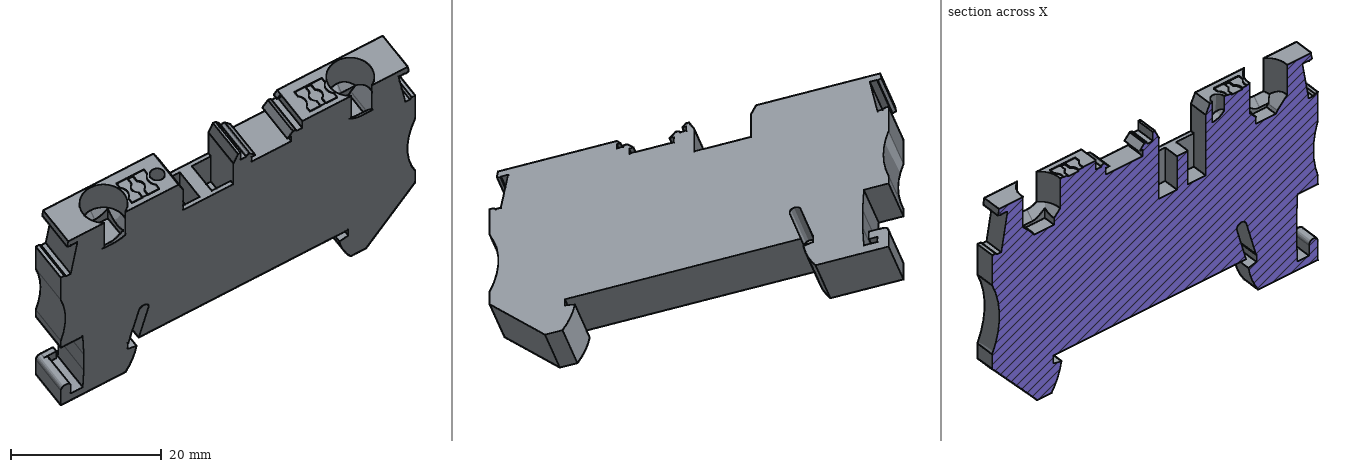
import cadquery as cq
import math

THICKNESS = 6.15
LENGTH = 55.9
HEIGHT = 35.3
HALF_X = THICKNESS / 2
HALF_Y = LENGTH / 2

CATCH_LENGTH = 0.85

LIP_TIP_Y = 26.95
LIP_TOP_Y = 26.8
LIP_TIP_Z = HEIGHT - 1.05
LIP_UNDERSIDE_Z = HEIGHT - 1.2
LIP_BEAD_Y = 26.45
LIP_BEAD_HEIGHT = 0.1
NECK_TOP_Y = 25.3
NECK_BOTTOM_Y = 26.4
NECK_FLOOR_Z = 27.85
SHOULDER_Z = 28.1
SHOULDER_Y = 27.4
SHOULDER_INNER_Y = 27.1

GRIP_PLUS = (11.5, 23.05, 1.25)
GRIP_MINUS = (14.2, 23.2, 0.7)

RAIL_TOP_Z = 6.1
HEEL_Y = 17.4
HEEL_Z = 4.85
TOE_Y = 16.0
TOE_Z = 4.5
FOOT_Y = 17.7
FOOT_BULGE = 0.3
BEVEL_FOOT_Y = 20.2
BEVEL_END_Z = 9.0

SLIT_RADIUS = 0.8
SLIT_TOP_Y = -14.85
SLIT_TOP_Z = 11.9
SLIT_ANGLE = math.radians(15.5)

RECESS_TOP_Z = 12.7
RECESS_BOTTOM_Z = 1.5
RECESS_Y = -24.5
RECESS_BELLY = 0.15
BELLY_TOP_Z = 8.6
BELLY_BOTTOM_Z = 5.1
CREST_Z = 4.0
CREST_RADIUS = 0.8
NIB_UNDERSIDE_Z = 2.5
NIB_TIP_Y = -25.2

MARKER_Y = 5.25
MARKER_WALL = 4.85
MARKER_STEP = 3.95
MARKER_STEP_Z = HEIGHT - 1.5
MARKER_RIB_Z = HEIGHT - 1.2
MARKER_RIB_ROUND = 0.35
MARKER_RIB_CREST = 3.4
MARKER_LIP = 2.5
MARKER_LIP_Z = HEIGHT - 2.2
MARKER_UNDERCUT = 3.15
MARKER_FLOOR_Z = HEIGHT - 3.2
CATCH_REACH = 0.55
CATCH_HEIGHT = 0.65

BRIDGE_PLUS_Y = -0.7
BRIDGE_MINUS_Y = -8.65
BRIDGE_FLOOR_Z = HEIGHT - 6.1
BRIDGE_BEVEL_WIDTH = 0.7
BRIDGE_BEVEL_HEIGHT = 1.55
POCKET_WIDTH = 4.85
POCKET_LENGTH = 3.0
POCKET_DEPTH = 5.6

ENTRY_X = 0.35
ENTRY_Y = 19.45
ENTRY_RADIUS = 3.2
ENTRY_STRAIGHT_DEPTH = 5.05
ENTRY_DEPTH = 7.25
FUNNEL_END_RADIUS = 1.5
WELL_WIDTH = 3.8
WELL_INNER_Y = 17.35
WELL_OUTER_Y = 20.7
WELL_RAMP_Y = ENTRY_Y + FUNNEL_END_RADIUS
WELL_RAMP_HEIGHT = 0.45

SEAT_X = 0.35
SEAT_Y = 14.05
SEAT_WIDTH = 3.8
SEAT_LENGTH = 4.3
SEAT_DEPTH = 0.1
SEAT_NOTCH_WIDTH = 2.1
SEAT_NOTCH_DEPTH = 0.5
SEAT_DISC_RADIUS = 0.95
SEAT_BAND_WIDTH = 0.85
SEAT_BAND_DEPTH = 0.35

TEST_X = 0.1
TEST_Y = -10.85
TEST_RADIUS = 1.0
TEST_DEPTH = 3.35
TEST_FLOOR_RADIUS = 2.5


def side_sketch():
    """Work plane on the -X face, with local axes Y and Z."""
    return cq.Workplane("YZ", origin=(-HALF_X, 0, 0))


def through(points):
    """Prism through the full thickness with a straight-sided (Y, Z) outline."""
    return side_sketch().polyline(points).close().extrude(THICKNESS)


def top_box(x, y, width, length, top, depth):
    """Box sunk from the level `top`, centred on x and y."""
    return cq.Workplane("XY", origin=(x, y, top)).rect(width, length).extrude(-depth)


def neck(side):
    outline = [
        (HALF_Y, HEIGHT),
        (LIP_TOP_Y, HEIGHT),
        (LIP_TIP_Y, LIP_TIP_Z),
        (LIP_BEAD_Y, LIP_UNDERSIDE_Z - LIP_BEAD_HEIGHT),
        (LIP_BEAD_Y - LIP_BEAD_HEIGHT, LIP_UNDERSIDE_Z),
        (NECK_TOP_Y, LIP_UNDERSIDE_Z),
        (NECK_BOTTOM_Y, NECK_FLOOR_Z),
        (SHOULDER_INNER_Y, NECK_FLOOR_Z),
        (SHOULDER_Y, SHOULDER_Z),
        (HALF_Y, SHOULDER_Z),
    ]
    return through([(side * y, z) for y, z in outline])


def finger_grip(side, grip):
    bottom, top, depth = grip
    middle = (side * (HALF_Y - depth), (bottom + top) / 2)
    sketch = side_sketch().moveTo(side * HALF_Y, bottom)
    return sketch.threePointArc(middle, (side * HALF_Y, top)).close().extrude(THICKNESS)


def rail_opening():
    bulge_y = (FOOT_Y + TOE_Y) / 2 - FOOT_BULGE
    return (
        side_sketch()
        .moveTo(FOOT_Y, 0)
        .threePointArc((bulge_y, TOE_Z / 2), (TOE_Y, TOE_Z))
        .lineTo(HEEL_Y, HEEL_Z)
        .lineTo(HEEL_Y, RAIL_TOP_Z)
        .lineTo(-HEEL_Y, RAIL_TOP_Z)
        .lineTo(-HEEL_Y, HEEL_Z)
        .lineTo(-TOE_Y, TOE_Z)
        .threePointArc((-bulge_y, TOE_Z / 2), (-FOOT_Y, 0))
        .close()
        .extrude(THICKNESS)
    )


def flex_slit():
    across = SLIT_RADIUS * math.cos(SLIT_ANGLE)
    rise = SLIT_RADIUS * math.sin(SLIT_ANGLE)
    base_y = SLIT_TOP_Y - (SLIT_TOP_Z - RAIL_TOP_Z) * math.tan(SLIT_ANGLE)
    base_half = SLIT_RADIUS / math.cos(SLIT_ANGLE)
    return (
        side_sketch()
        .moveTo(base_y + base_half, RAIL_TOP_Z)
        .lineTo(SLIT_TOP_Y + across, SLIT_TOP_Z - rise)
        .threePointArc(
            (SLIT_TOP_Y + rise, SLIT_TOP_Z + across),
            (SLIT_TOP_Y - across, SLIT_TOP_Z + rise),
        )
        .lineTo(base_y - base_half, RAIL_TOP_Z)
        .close()
        .extrude(THICKNESS)
    )


def release_recess():
    wall_inner_y = -HALF_Y + 2 * CREST_RADIUS
    round_z = CREST_Z - CREST_RADIUS
    return (
        side_sketch()
        .moveTo(-HALF_Y, RECESS_TOP_Z)
        .lineTo(RECESS_Y, RECESS_TOP_Z)
        .lineTo(RECESS_Y + RECESS_BELLY, BELLY_TOP_Z)
        .lineTo(RECESS_Y + RECESS_BELLY, BELLY_BOTTOM_Z)
        .lineTo(RECESS_Y, RECESS_BOTTOM_Z)
        .lineTo(wall_inner_y, RECESS_BOTTOM_Z)
        .lineTo(wall_inner_y, round_z)
        .threePointArc((-HALF_Y + CREST_RADIUS, CREST_Z), (-HALF_Y, round_z))
        .close()
        .extrude(THICKNESS)
    )


def recess_nib():
    root_y = -HALF_Y + CREST_RADIUS
    outline = [
        (root_y, CREST_Z),
        (NIB_TIP_Y, CREST_Z),
        (NIB_TIP_Y, NIB_UNDERSIDE_Z),
        (root_y, NIB_UNDERSIDE_Z),
    ]
    return side_sketch().polyline(outline).close().extrude(CATCH_LENGTH)


def marker_half(side):
    """Half of the marker groove, from its centre line out to one wall."""

    def at(offset, z):
        return (MARKER_Y + side * offset, z)

    round_middle = MARKER_RIB_ROUND * math.sqrt(0.5)
    round_centre = MARKER_STEP - MARKER_RIB_ROUND
    return (
        side_sketch()
        .moveTo(*at(0, HEIGHT))
        .lineTo(*at(MARKER_WALL, HEIGHT))
        .lineTo(*at(MARKER_WALL, MARKER_STEP_Z))
        .lineTo(*at(MARKER_STEP, MARKER_STEP_Z))
        .threePointArc(
            at(round_centre + round_middle, MARKER_RIB_Z - MARKER_RIB_ROUND + round_middle),
            at(round_centre, MARKER_RIB_Z),
        )
        .lineTo(*at(MARKER_RIB_CREST, MARKER_RIB_Z))
        .lineTo(*at(MARKER_LIP, MARKER_LIP_Z))
        .lineTo(*at(MARKER_UNDERCUT, MARKER_LIP_Z))
        .lineTo(*at(MARKER_UNDERCUT, MARKER_FLOOR_Z))
        .lineTo(*at(0, MARKER_FLOOR_Z))
        .close()
        .extrude(THICKNESS)
    )


def marker_catch(side):
    wall = MARKER_Y + side * MARKER_WALL
    tip = wall - side * CATCH_REACH
    bottom = HEIGHT - CATCH_HEIGHT
    outline = [(wall, HEIGHT), (tip, bottom), (wall, bottom)]
    return side_sketch().polyline(outline).close().extrude(CATCH_LENGTH)


def bridge_slot():
    bevel_z = HEIGHT - BRIDGE_BEVEL_HEIGHT
    slot = through([
        (BRIDGE_PLUS_Y + BRIDGE_BEVEL_WIDTH, HEIGHT),
        (BRIDGE_PLUS_Y, bevel_z),
        (BRIDGE_PLUS_Y, BRIDGE_FLOOR_Z),
        (BRIDGE_MINUS_Y, BRIDGE_FLOOR_Z),
        (BRIDGE_MINUS_Y, bevel_z),
        (BRIDGE_MINUS_Y - BRIDGE_BEVEL_WIDTH, HEIGHT),
    ])
    for y in (BRIDGE_PLUS_Y - POCKET_LENGTH / 2, BRIDGE_MINUS_Y + POCKET_LENGTH / 2):
        slot = slot.union(top_box(0, y, POCKET_WIDTH, POCKET_LENGTH, BRIDGE_FLOOR_Z, POCKET_DEPTH))
    return slot


def wire_entry(side):
    """Round bore, a U-shaped funnel below it, and a square well with a leaning outer wall."""
    bottom = HEIGHT - ENTRY_DEPTH
    funnel_top = HEIGHT - ENTRY_STRAIGHT_DEPTH
    funnel_depth = ENTRY_DEPTH - ENTRY_STRAIGHT_DEPTH - WELL_RAMP_HEIGHT
    taper = math.degrees(math.atan((ENTRY_RADIUS - FUNNEL_END_RADIUS) / funnel_depth))
    rim = cq.Workplane("XY", origin=(ENTRY_X, side * ENTRY_Y, HEIGHT))
    bore = rim.circle(ENTRY_RADIUS).extrude(-ENTRY_STRAIGHT_DEPTH)
    envelope = rim.circle(ENTRY_RADIUS).extrude(-ENTRY_DEPTH)
    funnel = (
        cq.Workplane("XY", origin=(ENTRY_X, side * ENTRY_Y, funnel_top))
        .moveTo(-ENTRY_RADIUS, 0)
        .threePointArc((0, -side * ENTRY_RADIUS), (ENTRY_RADIUS, 0))
        .lineTo(ENTRY_RADIUS, side * ENTRY_RADIUS)
        .lineTo(-ENTRY_RADIUS, side * ENTRY_RADIUS)
        .close()
        .extrude(-funnel_depth, taper=taper)
    )
    outline = [
        (WELL_INNER_Y, funnel_top),
        (WELL_INNER_Y, bottom),
        (WELL_OUTER_Y, bottom),
        (WELL_RAMP_Y, bottom + WELL_RAMP_HEIGHT),
        (ENTRY_Y + ENTRY_RADIUS, funnel_top),
    ]
    well = (
        cq.Workplane("YZ", origin=(-WELL_WIDTH / 2, 0, 0))
        .polyline([(side * y, z) for y, z in outline])
        .close()
        .extrude(WELL_WIDTH)
    )
    return bore.union(funnel.union(well).intersect(envelope))


def lever_seat(side):
    """Shallow plate with notched ends, crossed by a deeper band and disc."""
    half_width = SEAT_WIDTH / 2
    half_length = SEAT_LENGTH / 2
    half_notch = SEAT_NOTCH_WIDTH / 2
    notch_y = half_length - SEAT_NOTCH_DEPTH
    base = cq.Workplane("XY", origin=(SEAT_X, side * SEAT_Y, HEIGHT))
    plate = (
        base.moveTo(-half_width, half_length)
        .lineTo(-half_notch, half_length)
        .threePointArc((0, notch_y), (half_notch, half_length))
        .lineTo(half_width, half_length)
        .lineTo(half_width, -half_length)
        .lineTo(half_notch, -half_length)
        .threePointArc((0, -notch_y), (-half_notch, -half_length))
        .lineTo(-half_width, -half_length)
        .close()
        .extrude(-SEAT_DEPTH)
    )
    band = base.rect(SEAT_WIDTH, SEAT_BAND_WIDTH).extrude(-SEAT_BAND_DEPTH)
    disc = base.circle(SEAT_DISC_RADIUS).extrude(-SEAT_BAND_DEPTH)
    return plate.union(band).union(disc)


def test_hole():
    bore = (
        cq.Workplane("XY", origin=(TEST_X, TEST_Y, HEIGHT))
        .circle(TEST_RADIUS)
        .extrude(-TEST_DEPTH)
    )
    floor_y = TEST_Y + TEST_RADIUS
    floor_z = HEIGHT - TEST_DEPTH + TEST_FLOOR_RADIUS
    rounded_floor = side_sketch().center(floor_y, floor_z).circle(TEST_FLOOR_RADIUS).extrude(THICKNESS)
    above = top_box(0, TEST_Y, THICKNESS, 2 * TEST_RADIUS, HEIGHT, HEIGHT - floor_z)
    return bore.intersect(rounded_floor.union(above))


result = through([
    (-HALF_Y, 0),
    (BEVEL_FOOT_Y, 0),
    (HALF_Y, BEVEL_END_Z),
    (HALF_Y, HEIGHT),
    (-HALF_Y, HEIGHT),
])
result = result.cut(finger_grip(1, GRIP_PLUS)).cut(finger_grip(-1, GRIP_MINUS))
result = result.cut(rail_opening()).cut(flex_slit()).cut(release_recess())
result = result.union(recess_nib())
result = result.cut(bridge_slot())

for direction in (1, -1):
    result = result.cut(neck(direction))
    result = result.cut(marker_half(direction))
    result = result.union(marker_catch(direction))
    result = result.cut(lever_seat(direction))
    result = result.cut(wire_entry(direction))

result = result.cut(test_hole()).solids()